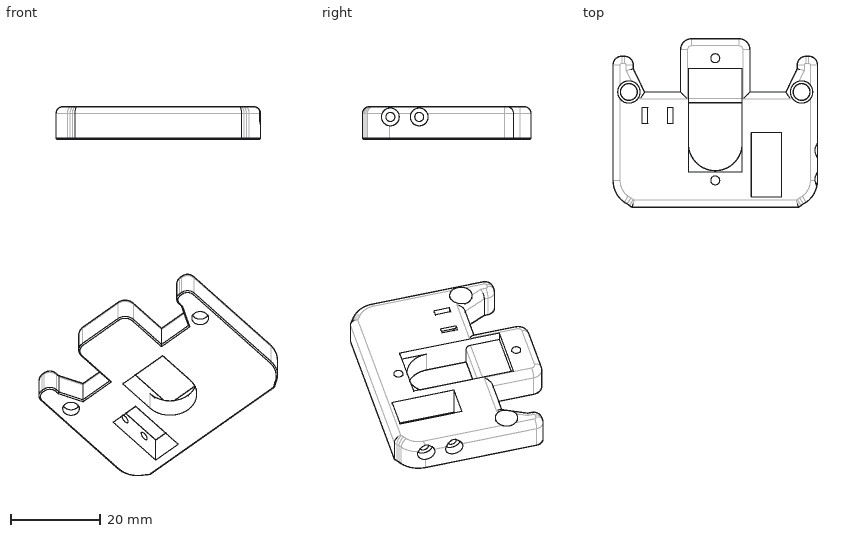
import cadquery as cq
import math

width = 45.95
length = 37.9
height = 7.4
half_width = width / 2
top_fillet = 1.6
bottom_chamfer = 0.3

front_corner_radius = 6.0
front_corner_center_y = 6.05
front_corner_arc_inset = 2.57
front_corner_flat_inset = 4.27
front_corner_kinks = ((3.68, 0.4), (3.15, 0.8))

tab_half_width = 7.8
tab_corner_radius = 5.0 / 2
shoulder_y = 25.9

ear_width = 4.6
ear_tip_y = 33.95
ear_tip_radius = 4.0 / 2
ear_slope_top_y = 31.1
ear_slope_foot_x = 15.85

mount_x = 19.4
mount_hole_diameter = 3.7
mount_bore_diameter = 5.0
mount_floor = 2.0

pocket_width = 12.0
pocket_half_width = pocket_width / 2
pocket_front_y = 8.0
pocket_rear_y = 31.2
pocket_depth = 2.1
opening_front_y = 8.25
opening_rear_y = 23.5
shelf_edge_radius = 1.0

pilot_diameter = 2.0
pilot_depth = 4.0
pilot_front_y = 6.05
pilot_rear_y = 33.5

window_left_x = 8.1
window_front_y = 2.4
window_width = 6.75
window_length = 14.4

side_screw_y = (6.3, 12.77)
side_screw_z = 5.05
side_screw_diameter = 2.0
side_bore_diameter = 4.0
side_bore_depth = 2.0

strap_center_x = -12.95
strap_outer_radius = 3.5
strap_inner_radius = 2.25
strap_front_y = 18.85
strap_width = 3.6


def right_outline():
    """Right half of the plan outline, closed along the Y axis."""
    diagonal = math.sqrt(0.5)
    corner_center_x = half_width - front_corner_radius
    arc_end_x = half_width - front_corner_arc_inset
    end_angle = math.acos((arc_end_x - corner_center_x) / front_corner_radius)

    def corner_point(angle):
        return (
            corner_center_x + front_corner_radius * math.cos(angle),
            front_corner_center_y - front_corner_radius * math.sin(angle),
        )

    ear_inner_x = half_width - ear_width
    ear_arc_y = ear_tip_y - ear_tip_radius
    ear_bulge = ear_tip_radius * (1 - diagonal)
    tab_bulge = tab_corner_radius * (1 - diagonal)
    kinks = [(half_width - inset, y) for inset, y in front_corner_kinks]
    return (
        cq.Workplane("XY")
        .moveTo(0, 0)
        .lineTo(half_width - front_corner_flat_inset, 0)
        .polyline(kinks, includeCurrent=True)
        .lineTo(*corner_point(end_angle))
        .threePointArc(corner_point(end_angle / 2), (half_width, front_corner_center_y))
        .lineTo(half_width, ear_arc_y)
        .threePointArc(
            (half_width - ear_bulge, ear_tip_y - ear_bulge),
            (half_width - ear_tip_radius, ear_tip_y),
        )
        .lineTo(ear_inner_x + ear_tip_radius, ear_tip_y)
        .threePointArc(
            (ear_inner_x + ear_bulge, ear_tip_y - ear_bulge),
            (ear_inner_x, ear_arc_y),
        )
        .lineTo(ear_inner_x, ear_slope_top_y)
        .lineTo(ear_slope_foot_x, shoulder_y)
        .lineTo(tab_half_width, shoulder_y)
        .lineTo(tab_half_width, length - tab_corner_radius)
        .threePointArc(
            (tab_half_width - tab_bulge, length - tab_bulge),
            (tab_half_width - tab_corner_radius, length),
        )
        .lineTo(0, length)
        .close()
    )


def body():
    """Solid plate with a rounded top rim and a chamfered bottom rim."""
    half = right_outline().extrude(height)
    plate = half.union(half.mirror("YZ")).clean()
    plate = plate.faces(">Z").edges().fillet(top_fillet)
    return plate.faces("<Z").edges().chamfer(bottom_chamfer)


def box_cut(x, y, z, size_x, size_y, size_z):
    """Cutting box placed by its lowest corner."""
    return cq.Workplane("XY").box(size_x, size_y, size_z, centered=False).translate((x, y, z))


def central_pocket():
    """Rectangular pocket plus the round-ended opening, with the shelf lip rounded over."""
    pocket_floor = height - pocket_depth
    pocket = box_cut(
        -pocket_half_width, pocket_front_y, pocket_floor,
        pocket_width, pocket_rear_y - pocket_front_y, pocket_depth,
    )
    arc_y = opening_front_y + pocket_half_width
    opening = (
        cq.Workplane("XY")
        .moveTo(-pocket_half_width, opening_rear_y)
        .lineTo(-pocket_half_width, arc_y)
        .threePointArc((0, opening_front_y), (pocket_half_width, arc_y))
        .lineTo(pocket_half_width, opening_rear_y)
        .close()
        .extrude(height)
    )
    lip_z = pocket_floor - shelf_edge_radius
    lip_round = (
        cq.Workplane("YZ", origin=(-pocket_half_width, opening_rear_y + shelf_edge_radius, lip_z))
        .circle(shelf_edge_radius)
        .extrude(pocket_width)
    )
    lip = box_cut(
        -pocket_half_width, opening_rear_y, lip_z,
        pocket_width, shelf_edge_radius, shelf_edge_radius,
    ).cut(lip_round)
    return pocket.union(opening).union(lip)


def mount_holes():
    """Stepped holes, wide from the top down to a thin floor."""
    centers = [(-mount_x, shoulder_y), (mount_x, shoulder_y)]
    through = cq.Workplane("XY").pushPoints(centers).circle(mount_hole_diameter / 2).extrude(height)
    bore = (
        cq.Workplane("XY", origin=(0, 0, mount_floor))
        .pushPoints(centers)
        .circle(mount_bore_diameter / 2)
        .extrude(height - mount_floor)
    )
    return through.union(bore)


def pilot_holes():
    """Blind holes on the centre line."""
    return (
        cq.Workplane("XY", origin=(0, 0, height))
        .pushPoints([(0, pilot_front_y), (0, pilot_rear_y)])
        .circle(pilot_diameter / 2)
        .extrude(-pilot_depth)
    )


def side_screw_holes():
    """Screw holes along X with head recesses in the +X side."""
    centers = [(y, side_screw_z) for y in side_screw_y]
    window_right_x = window_left_x + window_width
    side = cq.Workplane("YZ", origin=(half_width, 0, 0)).pushPoints(centers)
    shanks = side.circle(side_screw_diameter / 2).extrude(window_right_x - half_width)
    heads = side.circle(side_bore_diameter / 2).extrude(-side_bore_depth)
    return shanks.union(heads)


def strap_tunnel():
    """Ring centred on the top face; its lower half is the tunnel."""
    return (
        cq.Workplane("XZ", origin=(strap_center_x, strap_front_y, height))
        .circle(strap_outer_radius)
        .circle(strap_inner_radius)
        .extrude(-strap_width)
    )


window = box_cut(window_left_x, window_front_y, 0, window_width, window_length, height)

result = (
    body()
    .cut(central_pocket())
    .cut(window)
    .cut(mount_holes())
    .cut(pilot_holes())
    .cut(side_screw_holes())
    .cut(strap_tunnel())
)